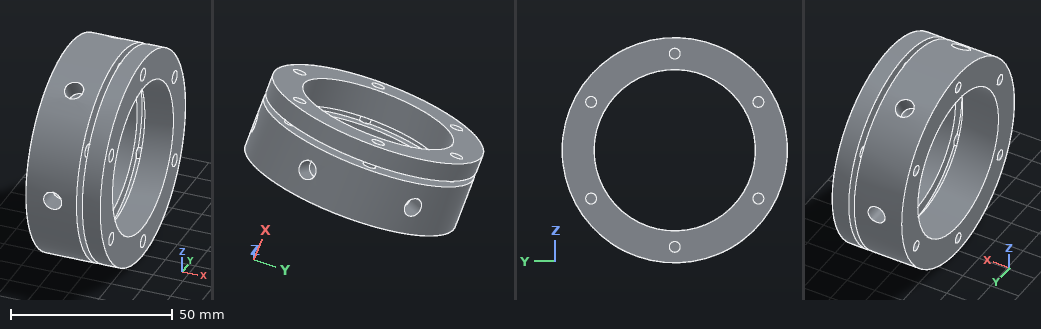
import cadquery as cq
import math

overall_length = 25.0
outer_radius = 35.0
bore_radius = 25.0
front_rim_length = 17.0
rear_rim_length = 6.0
rear_rim_start = overall_length - rear_rim_length

neck_radius = 27.5

groove_start = 12.8
groove_end = 15.4
groove_radius = 29.0

pin_count = 6
pin_circle_radius = (outer_radius + bore_radius) / 2
first_pin_angle = 30.0
pin_radius = 2.0
pin_start = groove_start
pilot_radius = 1.7

radial_hole_count = 6
radial_hole_x = 9.0
radial_hole_radius = 3.0
radial_hole_depth = 7.0
drill_tip_angle = 118.0
drill_tip_length = radial_hole_radius / math.tan(math.radians(drill_tip_angle / 2))


def disc(radius, x_start, x_end):
    """Solid cylinder on the X axis."""
    return cq.Workplane("YZ", origin=(x_start, 0, 0)).circle(radius).extrude(x_end - x_start)


def rod(index, radius, x_start, x_end):
    """Cylinder parallel to X at one place on the pin circle."""
    angle = math.radians(first_pin_angle + index * 360 / pin_count)
    y = pin_circle_radius * math.cos(angle)
    z = pin_circle_radius * math.sin(angle)
    return disc(radius, x_start, x_end).translate((0, y, z))


def drill(index):
    """Cutter for one radial hole, turned about X to its place."""
    rim_y = outer_radius - radial_hole_depth
    side_x = radial_hole_x + radial_hole_radius
    profile = (
        cq.Workplane("XY")
        .moveTo(radial_hole_x, outer_radius)
        .lineTo(side_x, outer_radius)
        .lineTo(side_x, rim_y)
        .lineTo(radial_hole_x, rim_y - drill_tip_length)
        .close()
    )
    cutter = profile.revolve(360, (radial_hole_x, 0), (radial_hole_x, 1))
    return cutter.rotate((0, 0, 0), (1, 0, 0), index * 360 / radial_hole_count)


def make_housing():
    """Two rims joined by a neck, with bore, groove, pin holes and radial holes."""
    housing = disc(outer_radius, 0, front_rim_length)
    housing = housing.union(disc(outer_radius, rear_rim_start, overall_length))
    housing = housing.union(disc(neck_radius, front_rim_length, rear_rim_start))
    housing = housing.cut(disc(bore_radius, 0, overall_length))
    housing = housing.cut(disc(groove_radius, groove_start, groove_end))
    for index in range(pin_count):
        housing = housing.cut(rod(index, pilot_radius, 0, pin_start))
        housing = housing.cut(rod(index, pin_radius, pin_start, overall_length))
    for index in range(radial_hole_count):
        housing = housing.cut(drill(index))
    return housing.solids()


def make_pin(index):
    """Plain round pin that fills its hole from the groove to the rear face."""
    return rod(index, pin_radius, pin_start, overall_length)


housing = make_housing()
pins = [make_pin(index).val() for index in range(pin_count)]

result = cq.Compound.makeCompound([housing.val(), *pins])